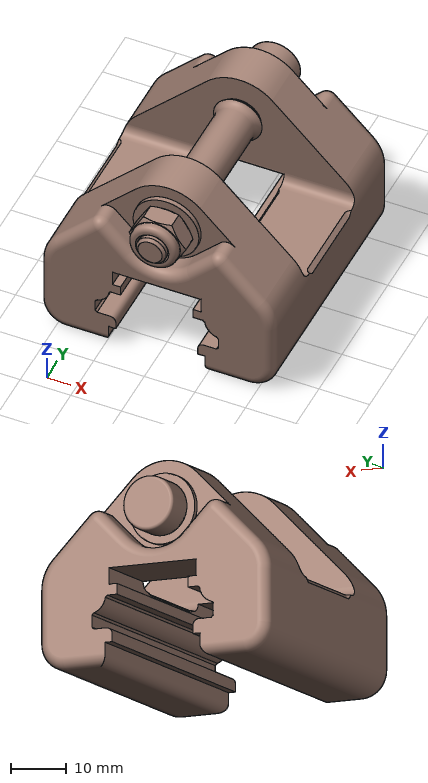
import cadquery as cq
import math

housing_width = 46.0
housing_height = 37.45
housing_length = 50.05
bottom_corner_radius = 5.0
shoulder_radius = 8.0
crown_radius = 9.0
end_fillet = 2.0

gap_width = 22.45
gap_floor_z = 16.0
gap_fillet = 2.0
edge_chamfer_outer = 0.9
edge_chamfer_inner = 0.4
edge_chamfer_depth = 0.9
edge_chamfer_setback = 2.1
edge_chamfer_corner = 1.2
edge_chamfer_angle = 45

recess_depth = 5.0
recess_radius = 7.6
ridge_round = 2.0
boss_diameter = 13.0
boss_height = 1.0

slot_roof_z = 17.65
slot_roof_half = 8.75
upper_lip_half = 7.15
upper_lip_top_z = 14.65
upper_lip_bottom_z = 12.65
channel_half = 12.15
channel_floor_z = 6.65
lower_lip_half = 8.1
lower_lip_bottom_z = 4.0
mouth_half = 9.5
mouth_flare = 2.0
lip_round = 1.2
channel_corner = 0.4
bulge_top = (9.45, 12.25)
bulge_middle = (10.3, 10.55)
bulge_bottom = (11.75, 9.6)

pin_diameter = 8.0
collar_gap = 0.15
collar_inner_diameter = 8.6
collar_peak_offset = 1.0
collar_flare_length = 1.6
collar_flare_radius = 2.0

head_diameter = 10.0
head_height = 6.0
head_round = 0.55
bearing_diameter = 9.5
bearing_height = 0.15

nut_across_flats = 9.75
nut_height = 4.25
nut_chamfer_start_diameter = 9.15
nut_chamfer_angle = 30
nut_envelope_clearance = 0.55
lock_ring_diameter = 9.5
lock_ring_height = 1.8
lock_ring_round = 1.0
lock_ring_mouth_diameter = 6.6
stud_diameter = 5.9
stud_length = 0.95
stud_chamfer = 0.55

half_width = housing_width / 2
end_y = housing_length / 2
arm_inner_y = gap_width / 2
recess_face_y = end_y - recess_depth
boss_face_y = recess_face_y + boss_height
axis_z = housing_height - crown_radius
diagonal = math.sqrt(0.5)
slope_sum = axis_z + crown_radius / diagonal
ridge_x = (crown_radius + recess_radius) * diagonal
ridge_z = axis_z + (crown_radius - recess_radius) * diagonal
recess_bottom_z = axis_z - recess_radius / diagonal


def prism(points, y_start, y_stop):
    """Closed XZ polygon extruded from y_start up to y_stop."""
    plane = cq.Plane(origin=(0, y_start, 0), xDir=(1, 0, 0), normal=(0, -1, 0))
    return cq.Workplane(plane).polyline(points).close().extrude(y_start - y_stop)


def turned(points):
    """Solid turned about the bolt axis from (radius, y) points."""
    outline = cq.Workplane("XY").polyline(points).close()
    return outline.revolve(360, (0, 0, 0), (0, 1, 0)).translate((0, 0, axis_z))


def outer_block():
    slope_foot = (half_width, slope_sum - half_width)
    peak = (0, slope_sum)
    outline = [(-half_width, 0), (half_width, 0), slope_foot, peak, (-slope_foot[0], slope_foot[1])]
    block = prism(outline, -end_y, end_y)
    block = block.edges("|Y and <Z").fillet(bottom_corner_radius)
    block = block.edges("|Y and >Z").fillet(crown_radius)
    for side in (-1, 1):
        corner = cq.selectors.NearestToPointSelector((side * slope_foot[0], 0, slope_foot[1]))
        block = block.edges("|Y").edges(corner).fillet(shoulder_radius)
    return block


def end_recess(side):
    """V-shaped recess with a round bottom, concentric with the bolt, in one end of the block."""
    reach = housing_width
    outline = [(0, recess_bottom_z), (reach, recess_bottom_z + reach), (-reach, recess_bottom_z + reach)]
    y_range = sorted((side * recess_face_y, side * (end_y + recess_depth)))
    return prism(outline, *y_range).edges("|Y and <Z").fillet(recess_radius)


def round_ends(block):
    for side in (-1, 1):
        middle_y = side * (recess_face_y + recess_depth / 2)
        for x in (-ridge_x, ridge_x):
            ridge = cq.selectors.NearestToPointSelector((x, middle_y, ridge_z))
            block = block.edges("|Y").edges(ridge).fillet(ridge_round)
    return block.faces("<Y or >Y").edges().fillet(end_fillet)


def slot_half():
    """Right half of the rail slot, with a flared mouth at the underside."""
    turn = lip_round * (1 - diagonal)
    flare = mouth_flare * (1 - diagonal)
    plane = cq.Plane(origin=(0, end_y, 0), xDir=(1, 0, 0), normal=(0, -1, 0))
    outline = (
        cq.Workplane(plane)
        .moveTo(0, slot_roof_z)
        .lineTo(slot_roof_half, slot_roof_z)
        .lineTo(slot_roof_half, upper_lip_top_z)
        .lineTo(upper_lip_half, upper_lip_top_z)
        .lineTo(upper_lip_half, upper_lip_bottom_z)
        .lineTo(bulge_top[0] - channel_corner, upper_lip_bottom_z)
        .lineTo(*bulge_top)
        .threePointArc(bulge_middle, bulge_bottom)
        .lineTo(channel_half, bulge_bottom[1] - channel_corner)
        .lineTo(channel_half, channel_floor_z + channel_corner)
        .lineTo(channel_half - channel_corner, channel_floor_z)
        .lineTo(lower_lip_half + lip_round, channel_floor_z)
        .threePointArc(
            (lower_lip_half + turn, channel_floor_z - turn),
            (lower_lip_half, channel_floor_z - lip_round),
        )
        .lineTo(lower_lip_half, lower_lip_bottom_z)
        .lineTo(mouth_half, lower_lip_bottom_z)
        .lineTo(mouth_half, mouth_flare)
        .threePointArc((mouth_half + flare, flare), (mouth_half + mouth_flare, 0))
        .lineTo(0, 0)
        .close()
    )
    return outline.extrude(housing_length)


def arm_gap():
    gap = cq.Workplane("XY").box(2 * housing_width, gap_width, housing_height, centered=(True, True, False))
    return gap.translate((0, 0, gap_floor_z)).edges("|X and <Z").fillet(gap_fillet)


def floor_edge_chamfer(edge_x, direction):
    """Cutter that bevels a gap-floor edge from edge_x outwards, with rounded ends."""
    reach = half_width / 2
    length = gap_width - 2 * edge_chamfer_setback
    middle = (edge_x + direction * reach / 2, 0, gap_floor_z)
    outline = cq.Sketch().rect(reach, length).vertices().fillet(edge_chamfer_corner)
    plane = cq.Plane(origin=middle, xDir=(1, 0, 0), normal=(0, 0, -1))
    return cq.Workplane(plane).placeSketch(outline).extrude(edge_chamfer_depth, taper=edge_chamfer_angle)


def make_housing():
    block = outer_block()
    for side in (-1, 1):
        block = block.cut(end_recess(side))
    block = round_ends(block)
    right_slot = slot_half()
    block = block.cut(right_slot).cut(right_slot.mirror("YZ")).cut(arm_gap())
    for side in (-1, 1):
        outer_edge = side * (half_width - edge_chamfer_outer)
        inner_edge = side * (slot_roof_half + edge_chamfer_inner)
        block = block.cut(floor_edge_chamfer(outer_edge, side))
        block = block.cut(floor_edge_chamfer(inner_edge, -side))
    bore_radius = pin_diameter / 2
    boss_radius = boss_diameter / 2
    for side in (-1, 1):
        inner, outer = side * recess_face_y, side * boss_face_y
        block = block.union(turned([(0, inner), (boss_radius, inner), (boss_radius, outer), (0, outer)]))
    bore = turned([(0, -end_y), (bore_radius, -end_y), (bore_radius, end_y), (0, end_y)])
    return block.cut(bore)


def pin_half():
    """Half of the pin on the +Y side, with the flared collar that faces the arm."""
    radius = pin_diameter / 2
    collar_end = arm_inner_y - collar_gap
    peak_y = arm_inner_y - collar_peak_offset
    flare_y = peak_y - collar_flare_length
    flare_centre = radius + collar_flare_radius
    half_angle = math.asin(collar_flare_length / collar_flare_radius) / 2
    peak_radius = flare_centre - collar_flare_radius * math.cos(2 * half_angle)
    flare_middle = (
        flare_centre - collar_flare_radius * math.cos(half_angle),
        flare_y + collar_flare_radius * math.sin(half_angle),
    )
    outline = (
        cq.Workplane("XY")
        .moveTo(0, 0)
        .lineTo(radius, 0)
        .lineTo(radius, flare_y)
        .threePointArc(flare_middle, (peak_radius, peak_y))
        .lineTo(collar_inner_diameter / 2, collar_end)
        .lineTo(radius, collar_end)
        .lineTo(radius, boss_face_y)
        .lineTo(0, boss_face_y)
        .close()
    )
    return outline.revolve(360, (0, 0, 0), (0, 1, 0)).translate((0, 0, axis_z))


def bolt_head():
    head_start = boss_face_y + bearing_height
    head_end = boss_face_y + head_height
    head = turned([
        (0, boss_face_y),
        (bearing_diameter / 2, boss_face_y),
        (bearing_diameter / 2, head_start),
        (head_diameter / 2, head_start),
        (head_diameter / 2, head_end),
        (0, head_end),
    ])
    return head.faces(">Y").edges().fillet(head_round)


def hex_nut():
    """Hexagon with flats up and down and both ends chamfered, on the -Y boss."""
    plane = cq.Plane(origin=(0, -boss_face_y, axis_z), xDir=(1, 0, 0), normal=(0, -1, 0))
    corner_diameter = nut_across_flats / math.cos(math.pi / 6)
    hexagon = cq.Workplane(plane).polygon(6, corner_diameter).extrude(nut_height)
    start = nut_chamfer_start_diameter / 2
    rim = corner_diameter / 2 + nut_envelope_clearance
    drop = (rim - start) * math.tan(math.radians(nut_chamfer_angle))
    near, far = -boss_face_y, -boss_face_y - nut_height
    envelope = turned([
        (0, near),
        (start, near),
        (rim, near - drop),
        (rim, far + drop),
        (start, far),
        (0, far),
    ])
    return hexagon.intersect(envelope)


def lock_ring_and_stud():
    ring_start = -boss_face_y - nut_height
    ring_end = ring_start - lock_ring_height
    stud_end = ring_end - stud_length
    ring_radius = lock_ring_diameter / 2
    stud_radius = stud_diameter / 2
    ring = turned([(0, ring_start), (ring_radius, ring_start), (ring_radius, ring_end), (0, ring_end)])
    ring = ring.faces("<Y").edges().fillet(lock_ring_round)
    mouth_radius = lock_ring_mouth_diameter / 2
    mouth_bottom = ring_end + mouth_radius - stud_radius
    countersink = turned([(stud_radius, mouth_bottom), (mouth_radius, ring_end), (stud_radius, ring_end)])
    stud = turned([
        (0, ring_end),
        (stud_radius, ring_end),
        (stud_radius, stud_end + stud_chamfer),
        (stud_radius - stud_chamfer, stud_end),
        (0, stud_end),
    ])
    return ring.cut(countersink).union(stud)


def make_bolt():
    half = pin_half()
    pin = half.union(half.mirror("XZ"))
    return pin.union(bolt_head()).union(hex_nut()).union(lock_ring_and_stud())


housing = make_housing()
bolt = make_bolt()

result = cq.Compound.makeCompound([housing.solids().val(), bolt.solids().val()])